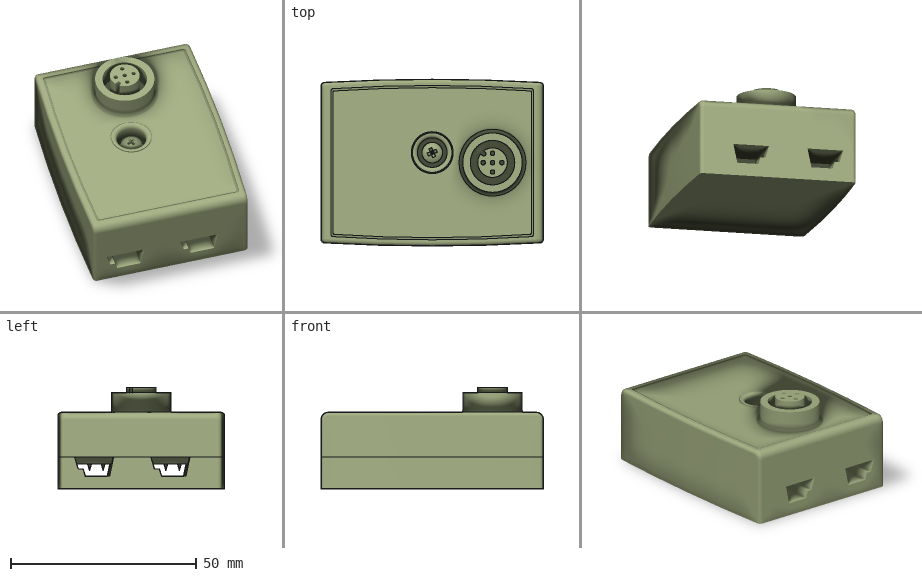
import cadquery as cq
import math

LENGTH = 60.0
WIDTH = 45.0
SIDE_BOW = 0.9
SPLIT_Z = 8.65
COVER_TOP_Z = 20.7
END_EDGE_RADIUS = 2.0
SIDE_EDGE_RADIUS = 1.0

RECESS_END_INSET = 2.65
RECESS_SIDE_INSET = 1.7
RECESS_DEPTH = 0.4
RECESS_CORNER_RADIUS = 0.7
RECESS_FLOOR_Z = COVER_TOP_Z - RECESS_DEPTH
LABEL_GAP = 0.6
LABEL_THICKNESS = 0.2
LABEL_CORNER_RADIUS = 0.35

CHANNEL_PITCH = 20.6
CHANNEL_FLOOR_Z = 3.5
CHANNEL_STEP_Z = 5.4
STEPPED_WALL_TOP_Y = 18.0
STEP_OUTER_Y = 17.0
STEP_INNER_Y = 15.65
FLOOR_OUTER_Y = 15.05
FLOOR_INNER_Y = 8.5
SLOPED_WALL_TOP_Y = 7.45
CHANNEL_NARROWING = 0.65

TONGUE_BOTTOM_Z = 6.7
TONGUE_END_INSET = 15.0
NEEDLE_PITCH = 3.65
NEEDLE_PAIR_Y = 12.1
NEEDLE_DIAMETER = 1.0
NEEDLE_LENGTH = 1.8

CONNECTOR_X = 16.25
COLLAR_DIAMETER = 16.0
COLLAR_BORE_DIAMETER = 12.0
COLLAR_FOOT_DIAMETER = 18.0
COLLAR_FOOT_RADIUS = (COLLAR_FOOT_DIAMETER - COLLAR_DIAMETER) / 2
COLLAR_TOP_Z = 26.0
INSERT_DIAMETER = 8.0
INSERT_TOP_Z = 27.4
INSERT_HEIGHT = INSERT_TOP_Z - RECESS_FLOOR_Z
SOCKET_DIAMETER = 1.2
SOCKET_OFFSET = 2.5
SOCKET_DEPTH = 3.6
KEYWAY_WIDTH = 1.2
KEYWAY_OFFSET = 3.35
KEYWAY_ANGLE = 135.0

SCREW_Y = 2.7
SCREW_BOSS_DIAMETER = 10.7
LABEL_SCREW_HOLE_DIAMETER = 11.3
COUNTERBORE_DIAMETER = 8.0
COUNTERBORE_RIM_RADIUS = 1.0
COUNTERBORE_FLOOR_Z = 15.0
HEAD_DIAMETER = 5.6
HEAD_HEIGHT = 3.85
DOME_HEIGHT = 0.95
SHANK_DIAMETER = 3.0
SHANK_END_Z = 3.5
DRIVE_SPAN = 3.0
DRIVE_ARM_WIDTH = 0.85
DRIVE_DEPTH = 1.5
DRIVE_ANGLE = 24.0


def cylinder(diameter, x, y, bottom_z, top_z):
    return cq.Workplane("XY", origin=(x, y, bottom_z)).circle(diameter / 2).extrude(top_z - bottom_z)


def bowed_plate(end_inset, side_inset, bottom_z, top_z):
    """Rectangle with bowed long sides, inset from the enclosure's outline."""
    half_length = LENGTH / 2 - end_inset
    middle_y = WIDTH / 2 - side_inset
    corner_y = middle_y - SIDE_BOW
    return (
        cq.Workplane("XY", origin=(0, 0, bottom_z))
        .moveTo(-half_length, -corner_y)
        .threePointArc((0, -middle_y), (half_length, -corner_y))
        .lineTo(half_length, corner_y)
        .threePointArc((0, middle_y), (-half_length, corner_y))
        .close()
        .extrude(top_z - bottom_z)
    )


def make_enclosure():
    """Outer form shared by base and cover."""
    block = bowed_plate(0, 0, 0, COVER_TOP_Z)
    block = block.faces(">Z").edges("|Y").fillet(END_EDGE_RADIUS)
    side_edges = block.faces("<Y or >Y").edges().edges("not(<Z)")
    return side_edges.fillet(SIDE_EDGE_RADIUS)


def slab(end_inset, bottom_z, top_z):
    """Plain block across the full width, used to cut the enclosure and the channels to length."""
    return (
        cq.Workplane("XY", origin=(0, 0, bottom_z))
        .rect(LENGTH - 2 * end_inset, WIDTH)
        .extrude(top_z - bottom_z)
    )


def channel_profile(shift_y, narrowing):
    return [
        (STEPPED_WALL_TOP_Y + shift_y, SPLIT_Z),
        (STEP_OUTER_Y + shift_y, CHANNEL_STEP_Z),
        (STEP_INNER_Y + shift_y, CHANNEL_STEP_Z),
        (FLOOR_OUTER_Y + shift_y, CHANNEL_FLOOR_Z),
        (FLOOR_INNER_Y + shift_y + narrowing, CHANNEL_FLOOR_Z),
        (SLOPED_WALL_TOP_Y + shift_y + narrowing, SPLIT_Z),
    ]


def make_channel(shift_y):
    """Space of one cable channel over the full length."""
    return (
        cq.Workplane("YZ", origin=(-LENGTH / 2, 0, 0))
        .polyline(channel_profile(shift_y, 0))
        .close()
        .workplane(offset=LENGTH)
        .polyline(channel_profile(shift_y, CHANNEL_NARROWING))
        .close()
        .loft(ruled=True)
    )


def make_needle(y):
    needle = cq.Solid.makeCone(
        NEEDLE_DIAMETER / 2, 0, NEEDLE_LENGTH, cq.Vector(0, y, TONGUE_BOTTOM_Z), cq.Vector(0, 0, -1)
    )
    return cq.Workplane(obj=needle)


def make_collar():
    """Connector collar with its rounded foot and bore, standing on the recess floor."""
    outer = COLLAR_DIAMETER / 2
    bore = COLLAR_BORE_DIAMETER / 2
    foot_arc_offset = COLLAR_FOOT_RADIUS * (1 - math.sqrt(0.5))
    collar = (
        cq.Workplane("XZ")
        .moveTo(bore, RECESS_FLOOR_Z)
        .lineTo(outer + COLLAR_FOOT_RADIUS, RECESS_FLOOR_Z)
        .threePointArc(
            (outer + foot_arc_offset, RECESS_FLOOR_Z + foot_arc_offset),
            (outer, RECESS_FLOOR_Z + COLLAR_FOOT_RADIUS),
        )
        .lineTo(outer, COLLAR_TOP_Z)
        .lineTo(bore, COLLAR_TOP_Z)
        .close()
        .revolve(360, (0, 0, 0), (0, 1, 0))
    )
    return collar.translate((CONNECTOR_X, 0, 0))


def make_counterbore():
    """Counterbore space whose mouth flares out with a rounded rim."""
    bore = COUNTERBORE_DIAMETER / 2
    rim = COUNTERBORE_RIM_RADIUS
    rim_arc_offset = rim * (1 - math.sqrt(0.5))
    space = (
        cq.Workplane("XZ")
        .moveTo(0, COUNTERBORE_FLOOR_Z)
        .lineTo(bore, COUNTERBORE_FLOOR_Z)
        .lineTo(bore, COVER_TOP_Z - rim)
        .threePointArc((bore + rim_arc_offset, COVER_TOP_Z - rim_arc_offset), (bore + rim, COVER_TOP_Z))
        .lineTo(0, COVER_TOP_Z)
        .close()
        .revolve(360, (0, 0, 0), (0, 1, 0))
    )
    return space.translate((0, SCREW_Y, 0))


def make_base(enclosure, channels, shank):
    base = enclosure.intersect(slab(0, 0, SPLIT_Z))
    for channel in channels:
        base = base.cut(channel)
    return base.cut(shank)


def make_cover(enclosure, channels, shank):
    cover = enclosure.intersect(slab(0, SPLIT_Z, COVER_TOP_Z))
    recess = bowed_plate(RECESS_END_INSET, RECESS_SIDE_INSET, RECESS_FLOOR_Z, COVER_TOP_Z)
    cover = cover.cut(recess.edges("|Z").fillet(RECESS_CORNER_RADIUS))
    cover = cover.union(make_collar())
    cover = cover.union(cylinder(SCREW_BOSS_DIAMETER, 0, SCREW_Y, RECESS_FLOOR_Z, COVER_TOP_Z))
    cover = cover.cut(make_counterbore()).cut(shank)
    for channel in channels:
        cover = cover.union(channel.intersect(slab(TONGUE_END_INSET, TONGUE_BOTTOM_Z, SPLIT_Z)))
    for pair_y in (NEEDLE_PAIR_Y, NEEDLE_PAIR_Y - CHANNEL_PITCH):
        for side in (-1, 1):
            cover = cover.union(make_needle(pair_y + side * NEEDLE_PITCH / 2))
    return cover


def make_label():
    """Thin plate in the recess, cleared around the screw boss and fitted round the collar foot."""
    top_z = RECESS_FLOOR_Z + LABEL_THICKNESS
    label = bowed_plate(RECESS_END_INSET + LABEL_GAP, RECESS_SIDE_INSET + LABEL_GAP, RECESS_FLOOR_Z, top_z)
    label = label.edges("|Z").fillet(LABEL_CORNER_RADIUS)
    label = label.cut(cylinder(LABEL_SCREW_HOLE_DIAMETER, 0, SCREW_Y, RECESS_FLOOR_Z, top_z))
    return label.cut(cylinder(COLLAR_FOOT_DIAMETER, CONNECTOR_X, 0, RECESS_FLOOR_Z, top_z))


def make_insert():
    """Connector insert with five sockets and a coding keyway down its side."""
    insert = cylinder(INSERT_DIAMETER, 0, 0, RECESS_FLOOR_Z, INSERT_TOP_Z)
    sockets = [(0, 0)]
    for quarter in range(4):
        angle = math.radians(90 * quarter)
        sockets.append((SOCKET_OFFSET * math.cos(angle), SOCKET_OFFSET * math.sin(angle)))
    insert = insert.faces(">Z").workplane().pushPoints(sockets).hole(SOCKET_DIAMETER, SOCKET_DEPTH)
    keyway_length = INSERT_DIAMETER / 2
    keyway = (
        cq.Workplane("XY", origin=(0, 0, RECESS_FLOOR_Z))
        .center(KEYWAY_OFFSET - KEYWAY_WIDTH / 2 + keyway_length / 2, 0)
        .slot2D(keyway_length, KEYWAY_WIDTH)
        .extrude(INSERT_HEIGHT)
        .rotate((0, 0, 0), (0, 0, 1), KEYWAY_ANGLE)
    )
    return insert.cut(keyway).translate((CONNECTOR_X, 0, 0))


def make_shank():
    return cylinder(SHANK_DIAMETER, 0, SCREW_Y, SHANK_END_Z, COUNTERBORE_FLOOR_Z)


def make_drive_slot(top_z):
    """One slot of the cross recess, its floor sloping down from both ends to the middle."""
    half_span = DRIVE_SPAN / 2
    outline = [(-half_span, top_z), (half_span, top_z), (0, top_z - DRIVE_DEPTH)]
    slot = cq.Workplane("XZ", origin=(0, SCREW_Y, 0)).polyline(outline).close()
    return slot.extrude(DRIVE_ARM_WIDTH / 2, both=True)


def make_screw(shank):
    """Domed head with a cross recess, on a plain shank."""
    head_radius = HEAD_DIAMETER / 2
    dome_radius = (head_radius**2 + DOME_HEIGHT**2) / (2 * DOME_HEIGHT)
    head_top_z = COUNTERBORE_FLOOR_Z + HEAD_HEIGHT
    dome = cq.Workplane("XY", origin=(0, SCREW_Y, head_top_z - dome_radius)).sphere(dome_radius)
    head = dome.intersect(cylinder(HEAD_DIAMETER, 0, SCREW_Y, COUNTERBORE_FLOOR_Z, head_top_z))
    screw = head.union(shank)
    for arm in range(2):
        slot = make_drive_slot(head_top_z)
        screw = screw.cut(slot.rotate((0, SCREW_Y, 0), (0, SCREW_Y, 1), DRIVE_ANGLE + 90 * arm))
    return screw


enclosure = make_enclosure()
channels = [make_channel(0), make_channel(-CHANNEL_PITCH)]
shank = make_shank()

base = make_base(enclosure, channels, shank)
cover = make_cover(enclosure, channels, shank)
label = make_label()
insert = make_insert()
screw = make_screw(shank)

result = cq.Compound.makeCompound([base.val(), cover.val(), label.val(), insert.val(), screw.val()])